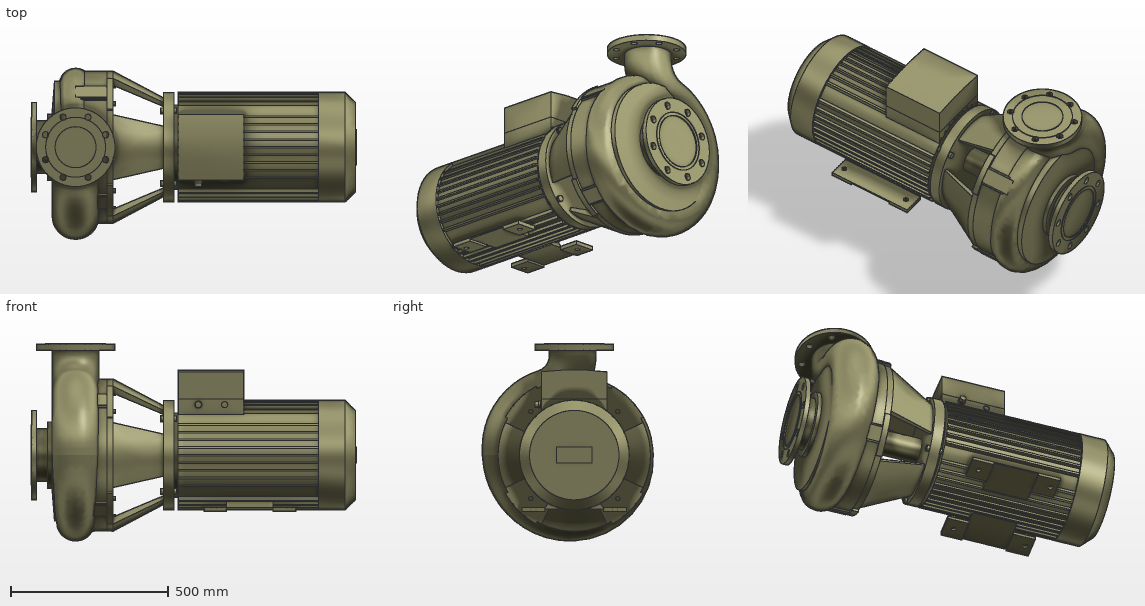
import cadquery as cq
import math


suction_flange_dia = 285.0
suction_flange_thickness = 18.0
suction_bore_dia = 169.0
suction_neck_dia = 169.0
suction_hole_dia = 23.0
suction_hole_radius = 118.0
discharge_flange_dia = 250.0
discharge_flange_thickness = 22.0
discharge_bore_dia = 130.0
discharge_hole_dia = 20.0
discharge_hole_radius = 104.0
discharge_face_z = 355.0
flange_hole_count = 8
raised_face_dia = 190.0
raised_face_height = 2.0
bore_depth = 4.0

eye_ring_dia = 211.0
eye_ring_x = 53.0
cover_eye_x = 66.0
cover_rim_x = 75.0
cover_radius = 210.0

volute_x = 142.0
scroll_stations = [(250.0, 45.0), (252.0, 52.0), (273.0, 60.0), (293.0, 75.0)]
sections_per_quarter = 6
discharge_bend_radius = 182.0
discharge_bend_z = 24.0
discharge_neck_bend_radius = 124.0
discharge_neck_y = -5.0

joint_x = 241.0
back_radius = 242.0
casing_lug_radius = 250.0
casing_lug_width = 49.0
casing_lug_foot_radius = 246.0
casing_lug_foot_width = 59.0
plate_thickness = 20.0
plate_lug_radius = 250.0
plate_lug_angle = 32.0
stud_count = 8
stud_dia = 13.0
stud_height = 8.0
stud_radius = 196.0

flange_x = 421.0
flange_dia = 349.0
flange_thickness = 34.0
strut_count = 4
between_struts_angle = 180 / strut_count
strut_outer_start = back_radius
strut_outer_end = 157.0
strut_inner_start = 217.0
strut_inner_end = 143.0
strut_angle = 50.6
hub_dia = 80.0

bolt_count = 4
bolt_circle_radius = 164.0
bolt_shank_dia = 13.0
bolt_head_dia = 20.0
bolt_head_height = 9.0
bolt_nut_dia = 18.0
bolt_nut_height = 7.0

motor_dia = 350.0
collar_dia = 269.0
housing_x = 468.0
housing_core_radius = 166.0
fin_count = 9
fin_span = 195.0
fin_thickness = 5.0
fan_cover_x = 914.0
fan_cover_taper_x = 999.0
fan_cover_end_x = 1032.0
fan_cover_end_dia = 285.0
end_plate_x = 1035.0
end_plate_width = 113.0
end_plate_height = 52.0

foot_x = 551.0
foot_length = 292.0
foot_inner_y = 93.0
foot_outer_y = 167.0
foot_top_z = -167.0
foot_thickness = 12.0
foot_relief_x = 621.0
foot_relief_length = 148.0
foot_relief_depth = 7.0
foot_hole_dia = 16.0
foot_hole_inset = 31.0
foot_hole_spacing = 240.0
web_top_y = 75.0
web_top_z = -145.0
web_inner_y = 52.0

box_length = 209.0
box_width = 209.0
box_bottom_z = 127.0
box_split_z = 179.0
box_edge_z = 265.0
box_crown_z = 271.0
gland_dia = 20.0
gland_z = 160.0
plug_x = 532.0
plug_length = 20.0
plug_collar_dia = 23.0
plug_collar_length = 9.0
blank_x = 616.0
blank_length = 2.0


def disc(x, length, dia):
    """Cylinder along X that starts at x."""
    return cq.Workplane("YZ", origin=(x, 0, 0)).circle(dia / 2).extrude(length)


def cylinders_on_circle(x, length, dia, radius, count, start_angle):
    """Cylinders along X, evenly spaced around the shaft."""
    return (
        cq.Workplane("YZ", origin=(x, 0, 0))
        .polarArray(radius, start_angle, 360, count)
        .circle(dia / 2)
        .extrude(length)
    )


def around_shaft(body, count, start_angle):
    """Copies of a body, evenly spaced around the shaft and joined."""
    copies = body.rotate((0, 0, 0), (1, 0, 0), start_angle)
    for i in range(1, count):
        copies = copies.union(body.rotate((0, 0, 0), (1, 0, 0), start_angle + i * 360 / count))
    return copies


def sector(x, length, radius, angle):
    """Wedge about +Z, from the shaft out past a radius, used to cut ring pieces to an angle."""
    spread = radius * math.tan(math.radians(angle / 2))
    return (
        cq.Workplane("YZ", origin=(x, 0, 0))
        .polyline([(0, 0), (spread, radius), (-spread, radius)])
        .close()
        .extrude(length)
    )


def tube_section(y, z, tangent_y, tangent_z, radius):
    """Circular cross-section of the volute, square to its path, with its seam facing the shaft."""
    plane = cq.Plane((volute_x, y, z), xDir=(0, tangent_z, -tangent_y), normal=(0, tangent_y, tangent_z))
    return cq.Workplane(plane).circle(radius).val()


def scroll_section(quarters):
    """Cross-section of the scroll, a number of quarter turns past the top."""
    index = min(int(quarters), len(scroll_stations) - 2)
    share = quarters - index
    outer_start, tube_start = scroll_stations[index]
    outer_end, tube_end = scroll_stations[index + 1]
    tube_radius = tube_start + (tube_end - tube_start) * share
    centre_radius = outer_start + (outer_end - outer_start) * share - tube_radius
    angle = math.radians(90 - 90 * quarters)
    across = math.cos(angle)
    up = math.sin(angle)
    return tube_section(centre_radius * across, centre_radius * up, up, -across, tube_radius)


def make_scroll(first_quarter, last_quarter):
    """Stretch of the scroll between two quarter turns, growing along its way."""
    count = (last_quarter - first_quarter) * sections_per_quarter
    steps = range(count + 1)
    sections = [scroll_section(first_quarter + i / sections_per_quarter) for i in steps]
    return cq.Workplane(cq.Solid.makeLoft(sections))


def make_discharge_pipe():
    """Pipe from the -Y end of the scroll: a wide bend, then a reverse bend up to the flange."""
    outer_end, tube_radius = scroll_stations[-1]
    start_y = tube_radius - outer_end
    bend_y = start_y + discharge_bend_radius
    neck_bend_y = discharge_neck_y - discharge_neck_bend_radius
    centre_distance = discharge_bend_radius + discharge_neck_bend_radius
    lean = math.asin((bend_y - neck_bend_y) / centre_distance)
    neck_bend_z = discharge_bend_z + centre_distance * math.cos(lean)

    def on_bend(angle):
        """Point of the wide bend, at an angle from upright toward -Y."""
        return (
            bend_y - discharge_bend_radius * math.sin(angle),
            discharge_bend_z + discharge_bend_radius * math.cos(angle),
        )

    def on_neck_bend(angle):
        """Point of the reverse bend, at an angle from straight down toward +Y."""
        return (
            neck_bend_y + discharge_neck_bend_radius * math.sin(angle),
            neck_bend_z - discharge_neck_bend_radius * math.cos(angle),
        )

    path = (
        cq.Workplane("YZ", origin=(volute_x, 0, 0))
        .moveTo(start_y, 0)
        .lineTo(start_y, discharge_bend_z)
        .threePointArc(on_bend((lean + math.pi / 2) / 2), on_bend(lean))
        .threePointArc(on_neck_bend((lean + math.pi / 2) / 2), on_neck_bend(math.pi / 2))
        .lineTo(discharge_neck_y, discharge_face_z - raised_face_height)
    )
    start = cq.Workplane("XY", origin=(volute_x, start_y, 0)).circle(tube_radius)
    return start.sweep(path)


def make_suction_side():
    """Suction flange, neck, eye ring, conical cover and back ring, turned about the shaft."""
    profile = [
        (bore_depth, 0),
        (bore_depth, suction_bore_dia / 2),
        (0, suction_bore_dia / 2),
        (0, raised_face_dia / 2),
        (raised_face_height, raised_face_dia / 2),
        (raised_face_height, suction_flange_dia / 2),
        (suction_flange_thickness, suction_flange_dia / 2),
        (suction_flange_thickness, suction_neck_dia / 2),
        (eye_ring_x, suction_neck_dia / 2),
        (eye_ring_x, eye_ring_dia / 2),
        (cover_eye_x, eye_ring_dia / 2),
        (cover_rim_x, cover_radius),
        (volute_x, cover_radius),
        (volute_x, back_radius),
        (joint_x, back_radius),
        (joint_x, 0),
    ]
    turned = cq.Workplane("XY").polyline(profile).close().revolve(360, (0, 0, 0), (1, 0, 0))
    holes = cylinders_on_circle(
        0,
        suction_flange_thickness,
        suction_hole_dia,
        suction_hole_radius,
        flange_hole_count,
        180 / flange_hole_count,
    )
    return turned.cut(holes)


def make_casing_lugs():
    """Stepped pads on the back ring, between the lantern struts."""
    length = joint_x - volute_x
    pad = cq.Workplane("XY").box(
        length, casing_lug_width, casing_lug_radius, centered=(False, True, False)
    )
    pad_foot = cq.Workplane("XY").box(
        length, casing_lug_foot_width, casing_lug_foot_radius, centered=(False, True, False)
    )
    lug = pad.union(pad_foot).translate((volute_x, 0, 0))
    return around_shaft(lug, strut_count, between_struts_angle)


def make_discharge_flange():
    base_z = discharge_face_z - discharge_flange_thickness
    plate = (
        cq.Workplane("XY", origin=(volute_x, 0, base_z))
        .circle(discharge_flange_dia / 2)
        .extrude(discharge_flange_thickness - raised_face_height)
        .faces(">Z")
        .workplane()
        .circle(raised_face_dia / 2)
        .extrude(raised_face_height)
    )
    bore = (
        cq.Workplane("XY", origin=(volute_x, 0, discharge_face_z))
        .circle(discharge_bore_dia / 2)
        .extrude(-raised_face_height)
    )
    holes = (
        cq.Workplane("XY", origin=(volute_x, 0, base_z))
        .polarArray(discharge_hole_radius, 180 / flange_hole_count, 360, flange_hole_count)
        .circle(discharge_hole_dia / 2)
        .extrude(discharge_flange_thickness)
    )
    return plate.cut(bore).cut(holes)


def make_casing():
    return (
        make_suction_side()
        .union(make_casing_lugs())
        .union(make_scroll(0, 2))
        .union(make_scroll(2, 3))
        .union(make_discharge_pipe())
        .union(make_discharge_flange())
    )


def make_plate_lugs():
    """Arc-shaped lugs on the rim of the lantern plate, between the struts."""
    rim = disc(joint_x, plate_thickness, 2 * plate_lug_radius)
    wedge = sector(joint_x, plate_thickness, 2 * plate_lug_radius, plate_lug_angle)
    return around_shaft(rim.intersect(wedge), strut_count, between_struts_angle)


def make_struts():
    """Tapered panels cut from a conical shell."""
    start_x = joint_x + plate_thickness
    shell = (
        cq.Workplane("XY")
        .polyline(
            [
                (start_x, strut_inner_start),
                (start_x, strut_outer_start),
                (flange_x, strut_outer_end),
                (flange_x, strut_inner_end),
            ]
        )
        .close()
        .revolve(360, (0, 0, 0), (1, 0, 0))
    )
    wedge = sector(start_x, flange_x - start_x, 2 * strut_outer_start, strut_angle)
    return around_shaft(shell.intersect(wedge), strut_count, 0)


def make_lantern():
    plate_end_x = joint_x + plate_thickness
    plate = disc(joint_x, plate_thickness, 2 * back_radius)
    studs = cylinders_on_circle(plate_end_x, stud_height, stud_dia, stud_radius, stud_count, 0)
    flange = disc(flange_x, flange_thickness, flange_dia)
    bolt_holes = cylinders_on_circle(
        flange_x,
        flange_thickness,
        bolt_shank_dia,
        bolt_circle_radius,
        bolt_count,
        between_struts_angle,
    )
    return (
        plate.union(make_plate_lugs())
        .union(studs)
        .union(make_struts())
        .union(disc(plate_end_x, flange_x - plate_end_x, hub_dia))
        .union(flange.cut(bolt_holes))
    )


def make_flange_bolt(angle):
    """Bolt with its head on the pump side of the lantern flange and its nut on the motor side."""
    head = disc(flange_x - bolt_head_height, bolt_head_height, bolt_head_dia)
    shank = disc(flange_x, flange_thickness, bolt_shank_dia)
    nut = disc(flange_x + flange_thickness, bolt_nut_height, bolt_nut_dia)
    bolt = head.union(shank).union(nut).translate((0, bolt_circle_radius, 0))
    return bolt.rotate((0, 0, 0), (1, 0, 0), angle)


def make_fins():
    """Straight fins in parallel groups: upright above and below, level on both sides."""
    length = fan_cover_x - housing_x
    pitch = fin_span / (fin_count - 1)
    fins = cq.Workplane("XY")
    for i in range(fin_count):
        offset = i * pitch - fin_span / 2
        upright = cq.Workplane("XY").box(length, fin_thickness, motor_dia, centered=(False, True, True))
        level = cq.Workplane("XY").box(length, motor_dia, fin_thickness, centered=(False, True, True))
        fins = fins.add(upright.translate((housing_x, offset, 0)))
        fins = fins.add(level.translate((housing_x, 0, offset)))
    return fins.combine().intersect(disc(housing_x, length, motor_dia))


def make_foot():
    """Foot on the -Y side: a plate relieved between its end pads, on a sloping web."""
    plate = cq.Workplane("XY").box(
        foot_length, foot_outer_y - foot_inner_y, foot_thickness, centered=False
    ).translate((foot_x, -foot_outer_y, foot_top_z - foot_thickness))
    relief = cq.Workplane("XY").box(
        foot_relief_length, foot_outer_y - foot_inner_y, foot_relief_depth, centered=False
    ).translate((foot_relief_x, -foot_outer_y, foot_top_z - foot_thickness))
    holes = (
        cq.Workplane("XY", origin=(0, -(foot_inner_y + foot_outer_y) / 2, foot_top_z))
        .pushPoints([(foot_x + foot_hole_inset, 0), (foot_x + foot_hole_inset + foot_hole_spacing, 0)])
        .circle(foot_hole_dia / 2)
        .extrude(-foot_thickness)
    )
    web_bottom_z = foot_top_z - foot_thickness + foot_relief_depth
    web = (
        cq.Workplane("YZ", origin=(foot_relief_x, 0, 0))
        .polyline(
            [
                (-foot_inner_y, web_bottom_z),
                (-foot_inner_y, foot_top_z),
                (-web_top_y, web_top_z),
                (-web_inner_y, web_top_z),
                (-web_inner_y, web_bottom_z),
            ]
        )
        .close()
        .extrude(foot_relief_length)
    )
    return plate.cut(relief).cut(holes).union(web)


def make_motor_housing():
    collar_x = flange_x + flange_thickness
    foot = make_foot()
    return (
        disc(housing_x, fan_cover_x - housing_x, 2 * housing_core_radius)
        .union(make_fins())
        .union(disc(collar_x, housing_x - collar_x, collar_dia))
        .union(foot)
        .union(foot.mirror("XZ"))
    )


def make_fan_cover():
    profile = [
        (fan_cover_x, 0),
        (fan_cover_x, motor_dia / 2),
        (fan_cover_taper_x, motor_dia / 2),
        (fan_cover_end_x, fan_cover_end_dia / 2),
        (fan_cover_end_x, 0),
    ]
    shell = cq.Workplane("XY").polyline(profile).close().revolve(360, (0, 0, 0), (1, 0, 0))
    end_plate = cq.Workplane("XY").box(
        end_plate_x - fan_cover_end_x, end_plate_width, end_plate_height, centered=(False, True, True)
    )
    return shell.union(end_plate.translate((fan_cover_end_x, 0, 0)))


def make_gland(x, dia, length):
    """Round cable entry standing out from the -Y wall of the terminal box."""
    return (
        cq.Workplane("XZ", origin=(x, -box_width / 2, gland_z))
        .circle(dia / 2)
        .extrude(length)
    )


def make_terminal_box(housing):
    """Lower half of the box, shaped underneath to the motor housing."""
    block = cq.Workplane("XY").box(
        box_length, box_width, box_split_z - box_bottom_z, centered=(False, True, False)
    )
    return (
        block.translate((housing_x, 0, box_bottom_z))
        .cut(housing)
        .union(make_gland(plug_x, plug_collar_dia, plug_collar_length))
        .union(make_gland(plug_x, gland_dia, plug_length))
        .union(make_gland(blank_x, gland_dia, blank_length))
    )


def make_terminal_box_lid():
    """Lid with a slightly crowned top."""
    half_width = box_width / 2
    return (
        cq.Workplane("YZ", origin=(housing_x, 0, 0))
        .moveTo(-half_width, box_split_z)
        .lineTo(-half_width, box_edge_z)
        .threePointArc((0, box_crown_z), (half_width, box_edge_z))
        .lineTo(half_width, box_split_z)
        .close()
        .extrude(box_length)
    )


casing = make_casing()
lantern = make_lantern()
flange_bolts = [
    make_flange_bolt(between_struts_angle + i * 360 / bolt_count) for i in range(bolt_count)
]
motor_housing = make_motor_housing()
fan_cover = make_fan_cover()
terminal_box = make_terminal_box(motor_housing)
terminal_box_lid = make_terminal_box_lid()

result = cq.Compound.makeCompound(
    [
        casing.val(),
        lantern.val(),
        *[bolt.val() for bolt in flange_bolts],
        motor_housing.val(),
        fan_cover.val(),
        terminal_box.val(),
        terminal_box_lid.val(),
    ]
)